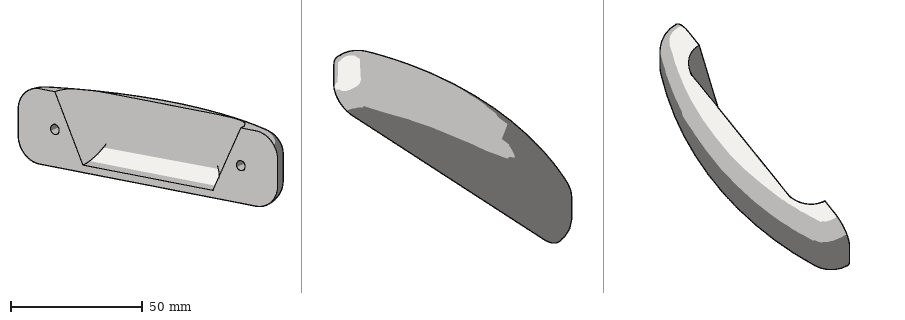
import cadquery as cq
import math

length = 120.0
depth = 22.2
height = 30.0
end_radius = 12.6
edge_radius = 10.0

pocket_depth = 10.0
pocket_bottom_z = 3.0
pocket_bottom_half_width = 30.0
pocket_top_half_width = 43.0

hole_spacing = 85.9
hole_diameter = 4.0
hole_depth = 10.0

end_center_x = length / 2 - end_radius
back_radius = (end_center_x**2 + depth**2 - end_radius**2) / (2 * (depth - end_radius))
tangent_angle = math.asin(end_center_x / (back_radius - end_radius))


def end_arc_point(angle):
    """Point on the right end arc, at an angle measured from +Y towards +X."""
    return (
        end_center_x + end_radius * math.sin(angle),
        end_radius * math.cos(angle),
    )


def make_body():
    """Bow-shaped grip with its top and bottom edges rounded."""
    tangent_x, tangent_y = end_arc_point(tangent_angle)
    mid_x, mid_y = end_arc_point((tangent_angle + math.pi / 2) / 2)
    grip = (
        cq.Workplane("XY")
        .moveTo(-length / 2, 0)
        .lineTo(length / 2, 0)
        .threePointArc((mid_x, mid_y), (tangent_x, tangent_y))
        .threePointArc((0, depth), (-tangent_x, tangent_y))
        .threePointArc((-mid_x, mid_y), (-length / 2, 0))
        .close()
        .extrude(height)
    )
    return grip.faces("|Z").edges("not(<Y)").fillet(edge_radius)


def coved_block(origin, along, inward):
    """Block inside one pocket wall, which curves in a quarter circle from the front to the floor."""
    reach = 2 * length
    plane = cq.Plane(origin=origin, xDir=inward, normal=along)
    bend = pocket_depth * math.sqrt(0.5)
    return (
        cq.Workplane(plane)
        .moveTo(0, 0)
        .threePointArc((pocket_depth - bend, bend), (pocket_depth, pocket_depth))
        .lineTo(reach, pocket_depth)
        .lineTo(reach, 0)
        .close()
        .extrude(reach, both=True)
    )


def make_pocket():
    """Finger pocket, open at the top, with a coved bottom and two coved slanting sides."""
    rise = height - pocket_bottom_z
    flare = pocket_top_half_width - pocket_bottom_half_width
    pocket = coved_block((0, 0, pocket_bottom_z), along=(-1, 0, 0), inward=(0, 0, 1))
    for side in (-1, 1):
        wall = coved_block(
            (side * pocket_bottom_half_width, 0, pocket_bottom_z),
            along=(-flare, 0, -side * rise),
            inward=(-side * rise, 0, flare),
        )
        pocket = pocket.intersect(wall)
    return pocket


def make_screw_holes():
    """Two blind holes drilled into the front at mid height."""
    return (
        cq.Workplane("XZ", origin=(0, 0, height / 2))
        .pushPoints([(-hole_spacing / 2, 0), (hole_spacing / 2, 0)])
        .circle(hole_diameter / 2)
        .extrude(-hole_depth)
    )


result = make_body().cut(make_pocket()).cut(make_screw_holes())